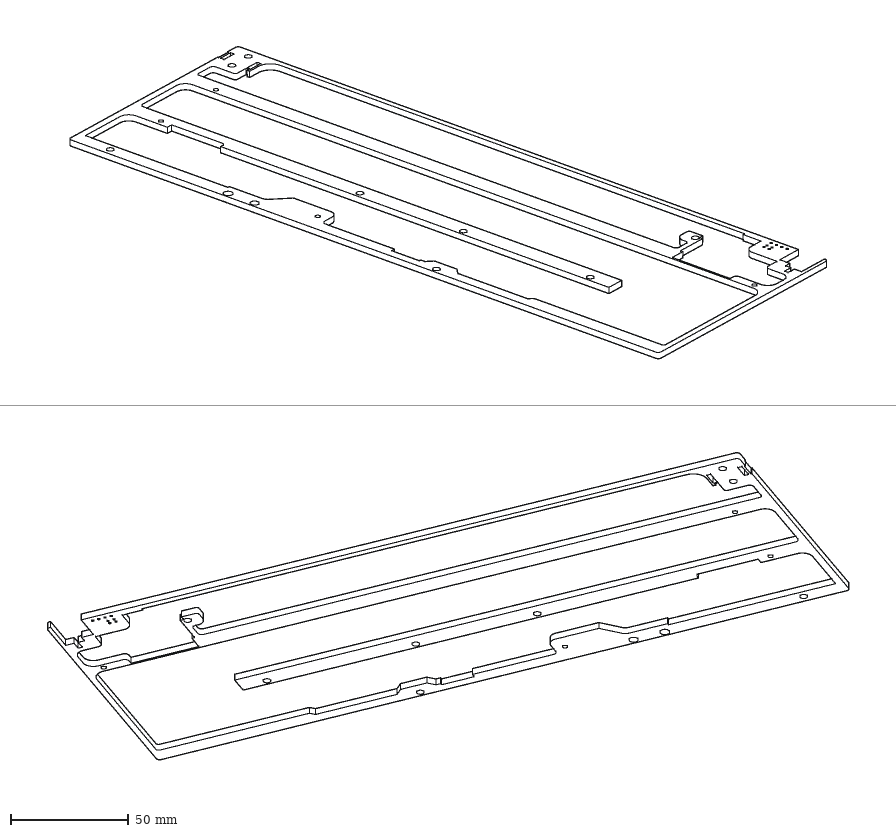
import cadquery as cq
import math

LENGTH = 324.0
WIDTH = 114.3
THICKNESS = 3.0

LEFT_WALL = 3.5
RIGHT_WALL = 321.0
TOP_BAR = 111.5
BOTTOM_BAR = 7.0
OUTER_RADIUS = 1.5
WEB_RADIUS = 5.0
PAD_RADIUS = 4.0
MEDIUM_RADIUS = 2.0
SMALL_RADIUS = 1.3

UPPER_RAIL_BOTTOM = 73.5
UPPER_RAIL_TOP = UPPER_RAIL_BOTTOM + 8.7
STRIP_TOP = UPPER_RAIL_BOTTOM + 1.0
STRIP_LEFT = 270.7
STRIP_RIGHT = 302.5
RAIL_END_TOP = 78.5
RAIL_SHOULDER = UPPER_RAIL_TOP - 0.5

HOOK_LEFT = 260.0
HOOK_BOTTOM = 90.0
HOOK_TOP = 98.8
HOOK_STEP_DEPTH = 2.3
HOOK_STEP_LEFT = 267.8
STEM_LEFT = 267.0
STEM_RIGHT = 269.5

LOWER_RAIL_BOTTOM = 35.3
LOWER_RAIL_TOP = 44.0
LOWER_RAIL_END = 267.8
RELIEF_LEFT = 25.5
RELIEF_RIGHT = 54.7
RELIEF_TOP = 38.2

LEFT_PAD_BOTTOM = 93.0
LEFT_PAD_RIGHT = 16.2
TAB_RIGHT = 19.0
TAB_BOTTOM = 98.8
TAB_RADIUS = 6.5
TOOTH_LEFT = 17.8
TOOTH_HEIGHT = 1.3
SLOT_BOTTOM = 100.7
SLOT_TOP = 107.5
TAB_SLOT_RIGHT = 18.0
EDGE_SLOT_LEFT = 1.5
EDGE_RECESS = 0.5

RIGHT_PAD_LEFT = 290.2
RIGHT_PAD_BOTTOM = 99.7
RIGHT_PAD_RIGHT = 307.5
PAD_LIP_LEFT = 280.5
PAD_LIP_DEPTH = 1.0
UPPER_STEP = 101.7
UPPER_STEP_RIGHT = 313.2
LOWER_STEP = 98.8
CLEFT_LEFT = 316.0
CLEFT_RIGHT = 318.0
CLEFT_BOTTOM = 94.5
BRIDGE_BOTTOM = 92.0
ARM_LEFT = 322.0

LARGE_PAD_FOOT = 81.5
LARGE_PAD_RAMP = 101.5
LARGE_PAD_LEFT = 109.8
LARGE_PAD_RIGHT = 134.0
LARGE_PAD_TOP = 17.0
LEDGE = 8.0
MIDDLE_LEVEL = 6.0
DIP_LEFT = 174.0
DIP_RIGHT = 189.0
DIP_LEVEL = 4.2
LOW_LEVEL = 5.2
SMALL_PAD_LEFT = 194.3
SMALL_PAD_RIGHT = 206.5
SMALL_PAD_RISE = LEDGE - LOW_LEVEL
LOW_RIGHT = 247.7

PIN_HOLES = (2.2, [(19.0, 76.0), (314.5, 76.0), (19.8, 38.2), (129.0, 9.7)])
SCREW_HOLES = (
    3.2,
    [
        (9.7, 109.5),
        (9.7, 98.5),
        (266.5, 95.2),
        (129.0, 38.2),
        (186.0, 38.0),
        (255.5, 38.0),
        (20.0, 3.5),
        (199.8, 2.5),
    ],
)
NARROW_HOLE = (4.0, [(100.0, 2.5)])
WIDE_HOLE = (4.2, [(85.5, 2.5)])

TINY_PITCH = 3.0
TINY_LEFT = 294.7
TINY_ROW = 111.7
TINY_ROW_COUNT = 4
TINY_ROW_DIAMETER = 1.0
TINY_PAIR_COUNT = 2
TINY_PAIR_ROWS = [108.8, 107.0]
TINY_PAIR_DIAMETER = 0.9


def prism(corners):
    """Plate-thick prism from (x, y) corners; a third value rounds that corner to its radius."""
    count = len(corners)
    stretches = []
    for index, corner in enumerate(corners):
        x, y = corner[:2]
        radius = corner[2] if len(corner) > 2 else 0
        if radius == 0:
            stretches.append([(x, y)])
            continue
        before = corners[index - 1]
        after = corners[(index + 1) % count]
        to_before = cq.Vector(before[0] - x, before[1] - y).normalized()
        to_after = cq.Vector(after[0] - x, after[1] - y).normalized()
        half_angle = to_before.getAngle(to_after) / 2
        reach = radius / math.tan(half_angle)
        middle_reach = radius / math.sin(half_angle) - radius
        bisector = (to_before + to_after).normalized()
        point = cq.Vector(x, y)
        arc = [point + to_before * reach, point + bisector * middle_reach, point + to_after * reach]
        stretches.append([(end.x, end.y) for end in arc])

    outline = cq.Workplane("XY").moveTo(*stretches[0][-1])
    for stretch in stretches[1:] + stretches[:1]:
        outline = outline.lineTo(*stretch[0])
        if len(stretch) > 1:
            outline = outline.threePointArc(stretch[1], stretch[2])
    return outline.close().extrude(THICKNESS)


def box(left, right, bottom, top):
    return prism([(left, bottom), (right, bottom), (right, top), (left, top)])


def plate():
    """Outer outline, with the gap in the top bar left of the free arm."""
    return prism([
        (0, 0, OUTER_RADIUS),
        (LENGTH, 0, OUTER_RADIUS),
        (LENGTH, WIDTH, OUTER_RADIUS),
        (ARM_LEFT, WIDTH),
        (ARM_LEFT, LOWER_STEP),
        (UPPER_STEP_RIGHT, LOWER_STEP),
        (UPPER_STEP_RIGHT, UPPER_STEP),
        (RIGHT_PAD_RIGHT, UPPER_STEP),
        (RIGHT_PAD_RIGHT, WIDTH),
        (0, WIDTH, OUTER_RADIUS),
    ])


def upper_window():
    """Opening above the upper rail, around the hook and both top pads."""
    return prism([
        (LEFT_WALL, UPPER_RAIL_TOP, SMALL_RADIUS),
        (STEM_LEFT, UPPER_RAIL_TOP, MEDIUM_RADIUS),
        (STEM_LEFT, HOOK_BOTTOM, SMALL_RADIUS),
        (HOOK_LEFT, HOOK_BOTTOM, PAD_RADIUS),
        (HOOK_LEFT, HOOK_TOP, SMALL_RADIUS),
        (HOOK_STEP_LEFT, HOOK_TOP),
        (HOOK_STEP_LEFT, HOOK_TOP - HOOK_STEP_DEPTH),
        (STEM_RIGHT, HOOK_TOP - HOOK_STEP_DEPTH),
        (STEM_RIGHT, RAIL_SHOULDER),
        (STRIP_LEFT, RAIL_SHOULDER),
        (STRIP_LEFT, STRIP_TOP),
        (STRIP_RIGHT, STRIP_TOP),
        (STRIP_RIGHT, RAIL_END_TOP, MEDIUM_RADIUS),
        (RIGHT_WALL, RAIL_END_TOP, WEB_RADIUS),
        (RIGHT_WALL, BRIDGE_BOTTOM, PAD_RADIUS),
        (RIGHT_PAD_RIGHT, BRIDGE_BOTTOM, MEDIUM_RADIUS),
        (RIGHT_PAD_RIGHT, RIGHT_PAD_BOTTOM),
        (RIGHT_PAD_LEFT, RIGHT_PAD_BOTTOM, PAD_RADIUS),
        (RIGHT_PAD_LEFT, TOP_BAR - PAD_LIP_DEPTH),
        (PAD_LIP_LEFT, TOP_BAR - PAD_LIP_DEPTH),
        (PAD_LIP_LEFT, TOP_BAR),
        (TAB_RIGHT, TOP_BAR, TAB_RADIUS),
        (TAB_RIGHT, TAB_BOTTOM),
        (TOOTH_LEFT, TAB_BOTTOM),
        (TOOTH_LEFT, TAB_BOTTOM + TOOTH_HEIGHT),
        (LEFT_PAD_RIGHT, TAB_BOTTOM + TOOTH_HEIGHT),
        (LEFT_PAD_RIGHT, LEFT_PAD_BOTTOM, SMALL_RADIUS),
        (LEFT_WALL, LEFT_PAD_BOTTOM, MEDIUM_RADIUS),
    ])


def lower_window():
    """Opening below the upper rail, running round the free end of the lower rail."""
    return prism([
        (LEFT_WALL, BOTTOM_BAR),
        (LARGE_PAD_FOOT, BOTTOM_BAR),
        (LARGE_PAD_FOOT, LEDGE),
        (LARGE_PAD_RAMP, LEDGE, PAD_RADIUS),
        (LARGE_PAD_LEFT, LARGE_PAD_TOP),
        (LARGE_PAD_RIGHT, LARGE_PAD_TOP, PAD_RADIUS),
        (LARGE_PAD_RIGHT, MIDDLE_LEVEL, MEDIUM_RADIUS),
        (DIP_LEFT, MIDDLE_LEVEL),
        (DIP_LEFT, DIP_LEVEL),
        (DIP_RIGHT, DIP_LEVEL),
        (DIP_RIGHT, LOW_LEVEL),
        (SMALL_PAD_LEFT - SMALL_PAD_RISE, LOW_LEVEL),
        (SMALL_PAD_LEFT, LEDGE),
        (SMALL_PAD_RIGHT, LEDGE),
        (SMALL_PAD_RIGHT + SMALL_PAD_RISE, LOW_LEVEL),
        (LOW_RIGHT, LOW_LEVEL),
        (LOW_RIGHT + BOTTOM_BAR - LOW_LEVEL, BOTTOM_BAR),
        (RIGHT_WALL, BOTTOM_BAR, SMALL_RADIUS),
        (RIGHT_WALL, UPPER_RAIL_BOTTOM, WEB_RADIUS),
        (LEFT_WALL, UPPER_RAIL_BOTTOM, WEB_RADIUS),
        (LEFT_WALL, LOWER_RAIL_TOP, MEDIUM_RADIUS),
        (LOWER_RAIL_END, LOWER_RAIL_TOP),
        (LOWER_RAIL_END, LOWER_RAIL_BOTTOM),
        (RELIEF_RIGHT, LOWER_RAIL_BOTTOM),
        (RELIEF_RIGHT, RELIEF_TOP, SMALL_RADIUS),
        (RELIEF_LEFT, RELIEF_TOP),
        (RELIEF_LEFT, LOWER_RAIL_BOTTOM),
        (LEFT_WALL, LOWER_RAIL_BOTTOM, WEB_RADIUS),
    ])


def drills(diameter, centres):
    return cq.Workplane("XY").pushPoints(centres).circle(diameter / 2).extrude(THICKNESS)


def tiny_row(diameter, count, height):
    return drills(diameter, [(TINY_LEFT + index * TINY_PITCH, height) for index in range(count)])


result = plate().cut(upper_window()).cut(lower_window())

result = result.cut(box(EDGE_SLOT_LEFT, LEFT_WALL, SLOT_BOTTOM, SLOT_TOP))
result = result.cut(box(LEFT_PAD_RIGHT, TAB_SLOT_RIGHT, SLOT_BOTTOM, SLOT_TOP))
result = result.cut(box(0, EDGE_RECESS, SLOT_BOTTOM, SLOT_TOP))

result = result.cut(box(CLEFT_LEFT, CLEFT_RIGHT, CLEFT_BOTTOM, LOWER_STEP))

for hole_diameter, hole_centres in (PIN_HOLES, SCREW_HOLES, NARROW_HOLE, WIDE_HOLE):
    result = result.cut(drills(hole_diameter, hole_centres))
result = result.cut(tiny_row(TINY_ROW_DIAMETER, TINY_ROW_COUNT, TINY_ROW))
for row_height in TINY_PAIR_ROWS:
    result = result.cut(tiny_row(TINY_PAIR_DIAMETER, TINY_PAIR_COUNT, row_height))